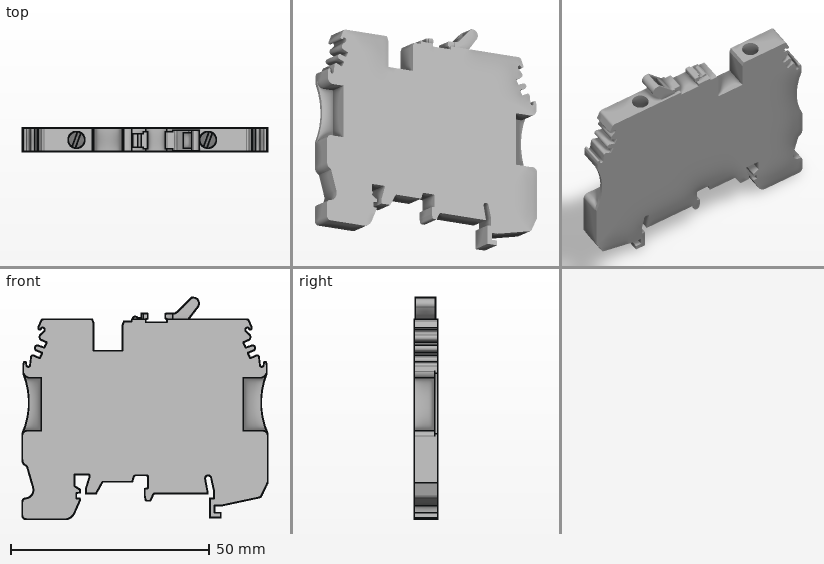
import cadquery as cq


THICKNESS = 6.0
HALF_LENGTH = 31.0
TOTAL_HEIGHT = 56.0
TOP_Z = 50.55
WAIST_Z = 21.1
CORE_HALF_LENGTH = 20.0
FRONT_Y = -THICKNESS / 2
BACK_Y = THICKNESS / 2

WEB_THICKNESS = 0.85
LEFT_RECESS_INNER_X = 26.15
RIGHT_RECESS_INNER_X = 24.8
RECESS_BOTTOM_Z = 22.3
RECESS_TOP_Z = 35.75
RECESS_STRAIGHT_X = 29.3
LIP_X = 30.8
LIP_Z = 37.5

WEB_BOTTOM_Z = 21.6
WEB_TOP_Z = 36.9
WEB_WAIST_X = 29.35

NOTCH_LEFT_X = -12.95
NOTCH_RIGHT_X = -5.7
NOTCH_FLOOR_Z = 42.55
STEP_Z = 49.95
PLATFORM_LEFT_X = -3.35
GAP_LEFT_X = 0.25
GAP_RIGHT_X = 5.5
GAP_FLOOR_Z = 49.75

WELL_DIAMETER = 4.2
WELL_DEPTH = 10.0
WELL_XS = (-17.3, 15.9)
DRIVER_SLOT_WIDTH = 0.9
DRIVER_SLOT_DEPTH = 0.8
DRIVER_SLOT_ANGLE = 70.0

BUMP_Y = (-1.9, 1.5)
CATCH_Y = (-2.3, 2.1)
LEVER_Y = (-2.75, 2.4)
POCKET_Y = (-2.15, 1.75)
BUMP_LEFT_X = -3.15
BUMP_FLAT_Z = 50.85
BUMP_TOP_Z = 51.2
CATCH_TOP_Z = 52.0
CATCH_EDGE_RADIUS = 0.4
LATCH_STEM_LEFT_X = -0.95
LATCH_CATCH_LEFT_X = -0.5
LATCH_CATCH_RIGHT_X = 0.75
LEVER_CATCH_LEFT_X = 5.1
LEVER_LEFT_X = 6.95
LEVER_BEND_X = 7.35
LEVER_FOOT_RIGHT_X = 11.0
POCKET_LEFT_X = 9.7
POCKET_RIGHT_X = 11.8
POCKET_FLOOR_Z = 52.2


def sketch_at(y):
    """X-Z workplane at the given Y whose extrusion runs towards +Y."""
    return cq.Workplane(cq.Plane(origin=(0, y, 0), xDir=(1, 0, 0), normal=(0, -1, 0)))


def extrude_between(outline, y_front, y_back):
    """Solid from a closed outline sketched at y_front, extruded to y_back."""
    return outline.extrude(y_front - y_back)


def box_between(x_range, y_range, z_range):
    """Axis-aligned box spanning the three ranges."""
    sizes = [high - low for low, high in (x_range, y_range, z_range)]
    corner = cq.Vector(x_range[0], y_range[0], z_range[0])
    return cq.Workplane("XY").box(*sizes, centered=False).translate(corner)


def make_left_flank():
    """Left end above the waist: concave grip, marker hook, two marker slots and the top hook."""
    web_middle_z = (WEB_TOP_Z + WEB_BOTTOM_Z) / 2
    outline = (
        sketch_at(FRONT_Y)
        .moveTo(-CORE_HALF_LENGTH, WAIST_Z)
        .lineTo(-HALF_LENGTH, WAIST_Z)
        .lineTo(-HALF_LENGTH, WEB_BOTTOM_Z)
        .threePointArc((-WEB_WAIST_X, web_middle_z), (-LIP_X, WEB_TOP_Z))
        .lineTo(-LIP_X, 38.8)
        .lineTo(-30.65, 39.5)
        .threePointArc((-30.3, 39.75), (-30.0, 39.45))
        .lineTo(-29.95, 38.95)
        .threePointArc((-29.5, 38.5), (-29.05, 38.95))
        .lineTo(-28.8, 41.0)
        .threePointArc((-28.5, 41.35), (-28.0, 41.3))
        .lineTo(-26.6, 40.7)
        .lineTo(-25.95, 42.0)
        .lineTo(-27.4, 42.6)
        .threePointArc((-27.8, 43.35), (-27.15, 43.95))
        .lineTo(-25.45, 43.35)
        .lineTo(-24.8, 44.65)
        .lineTo(-26.3, 45.3)
        .threePointArc((-26.65, 46.0), (-26.4, 46.6))
        .lineTo(-25.5, 47.45)
        .threePointArc((-25.45, 48.15), (-26.15, 48.3))
        .threePointArc((-26.55, 47.9), (-27.0, 48.35))
        .lineTo(-26.25, 50.1)
        .threePointArc((-26.0, 50.4), (-25.55, TOP_Z))
        .lineTo(-CORE_HALF_LENGTH, TOP_Z)
        .close()
    )
    return extrude_between(outline, FRONT_Y, BACK_Y)


def make_left_recess(inner_x):
    """Cutter for a left finger recess reaching in to inner_x, open to the front and to the end."""
    outside_x = -HALF_LENGTH - 1.0
    outline = (
        sketch_at(FRONT_Y)
        .moveTo(-inner_x, RECESS_BOTTOM_Z)
        .lineTo(-inner_x, RECESS_TOP_Z)
        .lineTo(-RECESS_STRAIGHT_X, RECESS_TOP_Z)
        .threePointArc((-30.35, 36.3), (-LIP_X, LIP_Z))
        .lineTo(outside_x, LIP_Z)
        .lineTo(outside_x, WAIST_Z)
        .lineTo(-HALF_LENGTH, WAIST_Z)
        .threePointArc((-30.6, 22.0), (-RECESS_STRAIGHT_X, RECESS_BOTTOM_Z))
        .close()
    )
    return extrude_between(outline, FRONT_Y, BACK_Y - WEB_THICKNESS)


def make_core():
    """Middle of the plate above the waist, with the notches of the top edge."""
    outline = (
        sketch_at(FRONT_Y)
        .moveTo(-CORE_HALF_LENGTH, WAIST_Z)
        .lineTo(-CORE_HALF_LENGTH, TOP_Z)
        .lineTo(-13.35, TOP_Z)
        .lineTo(NOTCH_LEFT_X, 49.5)
        .lineTo(NOTCH_LEFT_X, NOTCH_FLOOR_Z)
        .lineTo(NOTCH_RIGHT_X, NOTCH_FLOOR_Z)
        .lineTo(NOTCH_RIGHT_X, 49.0)
        .lineTo(-5.35, STEP_Z)
        .lineTo(PLATFORM_LEFT_X, STEP_Z)
        .lineTo(PLATFORM_LEFT_X, TOP_Z)
        .lineTo(GAP_LEFT_X, TOP_Z)
        .lineTo(GAP_LEFT_X, GAP_FLOOR_Z)
        .lineTo(GAP_RIGHT_X, GAP_FLOOR_Z)
        .lineTo(GAP_RIGHT_X, TOP_Z)
        .lineTo(CORE_HALF_LENGTH, TOP_Z)
        .lineTo(CORE_HALF_LENGTH, WAIST_Z)
        .close()
    )
    return extrude_between(outline, FRONT_Y, BACK_Y)


def make_foot():
    """Rail foot below the waist, outlined from the left end to the right end."""
    outline = (
        sketch_at(FRONT_Y)
        .moveTo(-HALF_LENGTH, WAIST_Z)
        .lineTo(-HALF_LENGTH, 15.05)
        .threePointArc((-30.75, 14.15), (-30.2, 13.6))
        .lineTo(-29.8, 13.3)
        .lineTo(-28.25, 7.9)
        .threePointArc((-28.65, 6.1), (-30.2, 5.28))
        .threePointArc((-30.75, 5.03), (-HALF_LENGTH, 4.5))
        .lineTo(-HALF_LENGTH, 1.0)
        .threePointArc((-30.71, 0.29), (-30.0, 0))
        .lineTo(-19.7, 0)
        .threePointArc((-18.55, 0.6), (-17.75, 1.7))
        .lineTo(-16.3, 5.0)
        .lineTo(-16.5, 5.25)
        .lineTo(-17.3, 5.25)
        .lineTo(-17.3, 6.6)
        .lineTo(-16.35, 6.7)
        .lineTo(-16.35, 7.45)
        .lineTo(-17.8, 8.4)
        .lineTo(-17.8, 11.25)
        .lineTo(-14.1, 11.25)
        .lineTo(-13.95, 11.0)
        .lineTo(-14.95, 7.7)
        .lineTo(-14.95, 6.5)
        .lineTo(-12.35, 6.5)
        .lineTo(-10.7, 9.45)
        .lineTo(-3.2, 9.45)
        .lineTo(-2.8, 10.8)
        .lineTo(-2.5, 11.05)
        .lineTo(0.45, 11.05)
        .threePointArc((0.66, 10.96), (0.75, 10.75))
        .lineTo(0.75, 7.85)
        .lineTo(-0.1, 7.7)
        .lineTo(-0.1, 5.9)
        .lineTo(0.1, 5.0)
        .threePointArc((0.25, 4.75), (0.5, 4.65))
        .lineTo(1.35, 4.65)
        .lineTo(2.05, 6.15)
        .threePointArc((2.25, 6.4), (2.55, 6.5))
        .lineTo(15.9, 6.5)
        .lineTo(15.2, 10.2)
        .threePointArc((15.95, 11.05), (16.7, 10.3))
        .lineTo(17.4, 7.2)
        .lineTo(17.4, 5.25)
        .lineTo(16.4, 5.25)
        .lineTo(16.4, 0.4)
        .lineTo(19.15, 0.4)
        .lineTo(19.15, 1.65)
        .lineTo(17.6, 1.65)
        .lineTo(17.6, 3.45)
        .lineTo(19.4, 3.45)
        .lineTo(28.8, 5.45)
        .threePointArc((29.15, 5.6), (29.4, 5.9))
        .lineTo(HALF_LENGTH, 9.25)
        .lineTo(HALF_LENGTH, WAIST_Z)
        .close()
    )
    return extrude_between(outline, FRONT_Y, BACK_Y)


def make_screw_well(x):
    """Cutter for a screw well with a tilted driver slot in its floor."""
    floor_z = TOP_Z - WELL_DEPTH
    well = (
        cq.Workplane("XY")
        .workplane(offset=floor_z)
        .center(x, 0)
        .circle(WELL_DIAMETER / 2)
        .extrude(WELL_DEPTH)
    )
    driver_slot = (
        cq.Workplane("XY")
        .workplane(offset=floor_z - DRIVER_SLOT_DEPTH)
        .center(x, 0)
        .transformed(rotate=(0, 0, DRIVER_SLOT_ANGLE))
        .rect(2 * WELL_DIAMETER, DRIVER_SLOT_WIDTH)
        .extrude(DRIVER_SLOT_DEPTH)
    )
    slot_limit = well.translate((0, 0, -DRIVER_SLOT_DEPTH))
    return well.union(driver_slot.intersect(slot_limit))


def make_catch(x_left, x_right, rounded_side):
    """Wide catch bar with rounded edges on the side that overhangs the lever gap."""
    bar = box_between((x_left, x_right), CATCH_Y, (TOP_Z, CATCH_TOP_Z))
    return bar.faces(rounded_side).edges("|Y").fillet(CATCH_EDGE_RADIUS)


def make_latch():
    """Latch on the platform: rounded bump, narrow stem and catch bar."""
    outline = (
        sketch_at(BUMP_Y[0])
        .moveTo(BUMP_LEFT_X, TOP_Z)
        .lineTo(BUMP_LEFT_X, 50.75)
        .threePointArc((-2.5, BUMP_TOP_Z), (-1.85, BUMP_FLAT_Z))
        .lineTo(LATCH_STEM_LEFT_X, BUMP_FLAT_Z)
        .lineTo(LATCH_STEM_LEFT_X, CATCH_TOP_Z)
        .lineTo(LATCH_CATCH_LEFT_X, CATCH_TOP_Z)
        .lineTo(LATCH_CATCH_LEFT_X, TOP_Z)
        .close()
    )
    stem = extrude_between(outline, *BUMP_Y)
    return stem.union(make_catch(LATCH_CATCH_LEFT_X, LATCH_CATCH_RIGHT_X, ">X"))


def make_lever():
    """Rocker lever leaning to the right, with a catch bar and a pocket in its tip."""
    outline = (
        sketch_at(LEVER_Y[0])
        .moveTo(LEVER_LEFT_X, TOP_Z)
        .lineTo(LEVER_LEFT_X, CATCH_TOP_Z)
        .lineTo(LEVER_BEND_X, CATCH_TOP_Z)
        .threePointArc((7.72, 52.07), (8.03, 52.28))
        .lineTo(11.75, TOTAL_HEIGHT)
        .lineTo(12.15, TOTAL_HEIGHT)
        .threePointArc((13.48, 55.19), (13.37, 53.63))
        .lineTo(LEVER_FOOT_RIGHT_X, TOP_Z)
        .close()
    )
    lever = extrude_between(outline, *LEVER_Y)
    pocket = box_between((POCKET_LEFT_X, POCKET_RIGHT_X), POCKET_Y, (POCKET_FLOOR_Z, TOTAL_HEIGHT))
    return lever.cut(pocket).union(make_catch(LEVER_CATCH_LEFT_X, LEVER_LEFT_X, "<X"))


body = make_core().union(make_foot())
body = body.union(make_left_flank().cut(make_left_recess(LEFT_RECESS_INNER_X)))
body = body.union(make_left_flank().cut(make_left_recess(RIGHT_RECESS_INNER_X)).mirror("YZ"))
for well_x in WELL_XS:
    body = body.cut(make_screw_well(well_x))
result = body.union(make_latch()).union(make_lever()).clean()